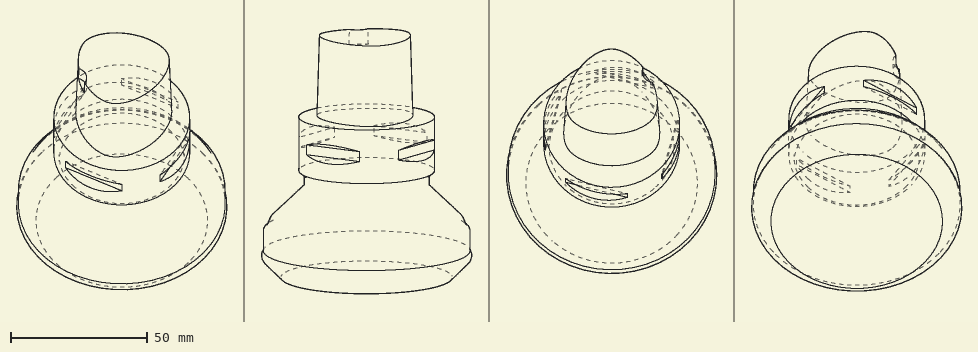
import cadquery as cq
import math

total_height = 90.05
shank_length = 30.0
split_height = 10.0
collar_top = total_height - shank_length

face_radius = 31.5
rim_radius = 38.6
rim_nose_radius = 2.7

body_radius = 76.0 / 2
body_top = 17.6
body_edge_height = 18.6
body_edge_radius = 37.3
bevel_bottom = 19.0
bevel_bottom_radius = 36.7
bevel_top = 22.15
shoulder_radius = 35.5
neck_radius = 46.0 / 2
neck_bottom = 34.2
neck_top = 38.45
neck_blend_radius = 0.8
shoulder_blend_radius = 2.25
ledge_blend_radius = 0.9
collar_radius = 50.0 / 2
collar_bottom = 40.0

shank_top_radius = 16.75
taper_per_side = 0.03
shank_base_radius = shank_top_radius + shank_length * taper_per_side
lobe_height = 1.2
lobe_count = 3
lobe_spacing = 360 / lobe_count
first_flank_angle = -90.0
flank_half_angle = 23.0
points_per_arc = 9

notch_radius = 4.5
notch_inner_y = -13.7
notch_depth = 5.8

groove_count = 4
groove_first_angle = 45.0
groove_center_height = 50.1
groove_floor_width = 3.7
groove_floor_distance = 22.1
groove_wall_slope = math.tan(math.radians(30))
groove_cut_distance = collar_radius + 1.8


def lobed_point(radius, angle, height):
    """Point where the outward normal of the three-lobed curve has this angle (degrees)."""
    normal = math.radians(angle)
    phase = lobe_count * math.radians(angle + first_flank_angle)
    support = radius + lobe_height * math.cos(phase)
    slope = -lobe_count * lobe_height * math.sin(phase)
    x = support * math.cos(normal) - slope * math.sin(normal)
    y = support * math.sin(normal) + slope * math.cos(normal)
    return cq.Vector(x, y, height)


def lobed_wire(radius, height):
    """Closed outline made of three shallow flanks and three lobes."""
    edges = []
    for index in range(lobe_count):
        flank_angle = first_flank_angle + index * lobe_spacing
        start = flank_angle - flank_half_angle
        middle = flank_angle + flank_half_angle
        end = start + lobe_spacing
        for first, last in ((start, middle), (middle, end)):
            step = (last - first) / (points_per_arc - 1)
            points = [lobed_point(radius, first + i * step, height) for i in range(points_per_arc)]
            tangents = [
                cq.Vector(-math.sin(math.radians(a)), math.cos(math.radians(a)), 0)
                for a in (first, last)
            ]
            edges.append(cq.Edge.makeSpline(points, tangents=tangents))
    return cq.Wire.assembleEdges(edges)


def make_shank():
    """Tapered polygon shank with its orientation notch."""
    base = lobed_wire(shank_base_radius, collar_top)
    top = lobed_wire(shank_top_radius, total_height)
    shank = cq.Workplane(cq.Solid.makeLoft([base, top], True))
    notch = (
        cq.Workplane("XY", origin=(0, notch_inner_y - notch_radius, total_height - notch_depth))
        .circle(notch_radius)
        .extrude(notch_depth)
    )
    return shank.cut(notch)


def make_gripper_groove():
    """Straight groove with sloped walls, on the +X side of the collar."""
    floor_half = groove_floor_width / 2
    mouth_half = floor_half + (groove_cut_distance - groove_floor_distance) * groove_wall_slope
    profile = [
        (groove_floor_distance, groove_center_height - floor_half),
        (groove_cut_distance, groove_center_height - mouth_half),
        (groove_cut_distance, groove_center_height + mouth_half),
        (groove_floor_distance, groove_center_height + floor_half),
    ]
    return cq.Workplane("XZ").polyline(profile).close().extrude(collar_radius, both=True)


def blend_circle(body, radius, height, blend_radius):
    """Fillet the turned edge with this radius and height."""
    margin = 0.1
    edge_zone = cq.selectors.BoxSelector(
        (-radius - margin, -radius - margin, height - margin),
        (radius + margin, radius + margin, height + margin),
        boundingbox=True,
    )
    return body.edges(edge_zone).edges("%CIRCLE").fillet(blend_radius)


def make_holder():
    """Turned holder with gripper grooves and the polygon shank on top."""
    holder = (
        cq.Workplane("XZ")
        .moveTo(0, split_height)
        .lineTo(body_radius, split_height)
        .lineTo(body_radius, body_top)
        .tangentArcPoint((body_edge_radius, body_edge_height), relative=False)
        .lineTo(bevel_bottom_radius, bevel_bottom)
        .lineTo(shoulder_radius, bevel_top)
        .lineTo(neck_radius, neck_bottom)
        .lineTo(neck_radius, neck_top)
        .lineTo(collar_radius, collar_bottom)
        .lineTo(collar_radius, collar_top)
        .lineTo(0, collar_top)
        .close()
        .revolve(360, (0, 0), (0, 1))
    )
    holder = blend_circle(holder, shoulder_radius, bevel_top, shoulder_blend_radius)
    holder = blend_circle(holder, bevel_bottom_radius, bevel_bottom, ledge_blend_radius)
    holder = blend_circle(holder, neck_radius, neck_bottom, neck_blend_radius)
    holder = blend_circle(holder, neck_radius, neck_top, neck_blend_radius)
    for index in range(groove_count):
        angle = groove_first_angle + index * 360 / groove_count
        holder = holder.cut(make_gripper_groove().rotate((0, 0, 0), (0, 0, 1), angle))
    return holder.union(make_shank())


def make_cutter_head():
    """Cutting end: a 45 degree cone running tangentially into a rounded rim."""
    nose_center_radius = rim_radius - rim_nose_radius
    cone_end_radius = nose_center_radius + rim_nose_radius * math.sqrt(0.5)
    cone_end_height = cone_end_radius - face_radius
    return (
        cq.Workplane("XZ")
        .lineTo(face_radius, 0)
        .lineTo(cone_end_radius, cone_end_height)
        .tangentArcPoint((body_radius, split_height), relative=False)
        .lineTo(0, split_height)
        .close()
        .revolve(360, (0, 0), (0, 1))
    )


holder = make_holder()
cutter_head = make_cutter_head()
result = cq.Compound.makeCompound([*holder.solids().vals(), cutter_head.val()])